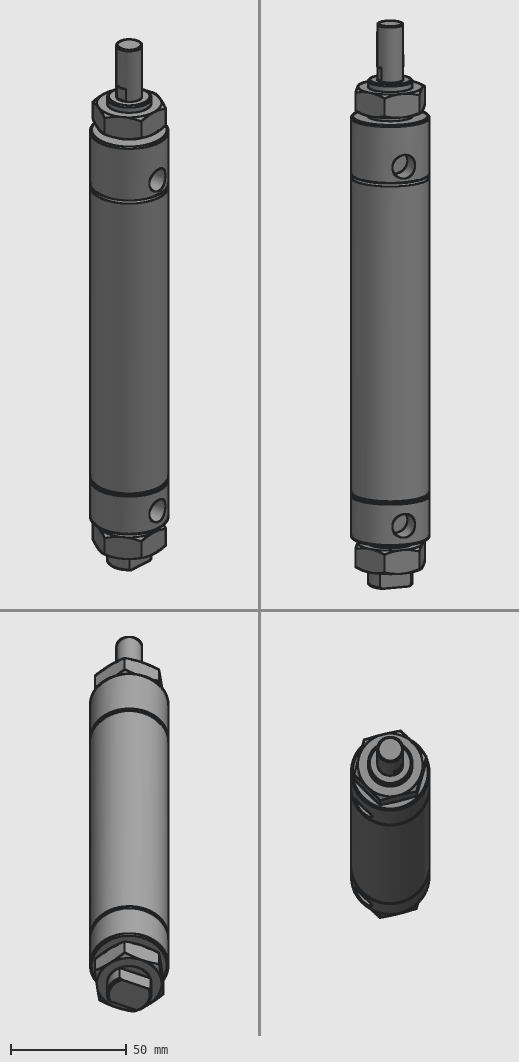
import cadquery as cq
import math

total_length = 251.0

body_diameter = 34.1
body_bottom = 21.0
body_top = 209.5
body_chamfer = 0.8

neck_diameter = 19.3
neck_chamfer = 0.8
front_neck_top = 225.9

tongue_thickness = 12.8
tongue_top = 8.0

groove_depth = 1.0
groove_floor = 0.5
tube_bottom = 41.5
tube_top = 182.2

port_diameter = 10.5
port_depth = 10.0
port_heights = (30.0, 190.7)

rod_diameter = 11.3
rod_chamfer = 0.5
rod_socket_depth = 16.0
flat_spacing = 10.0
flat_height = 6.0

nut_across_flats = 28.0
nut_height = 10.5
nut_chamfer_angle = 30.0
nut_sides = 6
nut_bottoms = (tongue_top, 212.0)

body_radius = body_diameter / 2
nut_half_side_angle = 180.0 / nut_sides
rod_bottom = front_neck_top - rod_socket_depth


def cylinder(diameter, bottom, top):
    return cq.Workplane("XY").workplane(offset=bottom).circle(diameter / 2).extrude(top - bottom)


def flats_cutter(spacing, bottom, top):
    """Two blocks that cut a pair of flats facing +X and -X, the given spacing apart."""
    block_size = 2 * body_diameter
    offset = (spacing + block_size) / 2
    return (
        cq.Workplane("XY")
        .workplane(offset=bottom)
        .pushPoints([(-offset, 0), (offset, 0)])
        .rect(block_size, block_size)
        .extrude(top - bottom)
    )


def make_groove(tube_edge, toward_cover):
    """Ring cut with a 45-degree flank on the tube side and a square shoulder on the cover side."""
    floor_radius = body_radius - groove_depth
    floor_start = tube_edge + toward_cover * groove_depth
    cover_edge = floor_start + toward_cover * groove_floor
    profile = (
        cq.Workplane("XZ")
        .polyline([
            (body_radius, tube_edge),
            (floor_radius, floor_start),
            (floor_radius, cover_edge),
            (body_radius, cover_edge),
        ])
        .close()
    )
    return profile.revolve(360, (0, 0, 0), (0, 1, 0))


def make_port(height):
    """Blind radial hole opening on the +X side."""
    return (
        cq.Workplane("YZ")
        .workplane(offset=body_radius - port_depth)
        .center(0, height)
        .circle(port_diameter / 2)
        .extrude(2 * port_depth)
    )


def make_body():
    barrel = cylinder(body_diameter, body_bottom, body_top).edges("%CIRCLE").chamfer(body_chamfer)
    neck = cylinder(neck_diameter, 0, front_neck_top).edges("%CIRCLE").chamfer(neck_chamfer)
    neck = neck.cut(flats_cutter(tongue_thickness, 0, tongue_top))
    body = barrel.union(neck)
    body = body.cut(make_groove(tube_bottom, -1))
    body = body.cut(make_groove(tube_top, 1))
    for height in port_heights:
        body = body.cut(make_port(height))
    return body.cut(cylinder(rod_diameter, rod_bottom, front_neck_top))


def make_rod():
    rod = cylinder(rod_diameter, rod_bottom, total_length).faces(">Z").chamfer(rod_chamfer)
    flats = flats_cutter(flat_spacing, front_neck_top, front_neck_top + flat_height)
    return rod.cut(flats.rotate((0, 0, 0), (0, 0, 1), 90))


def make_nut(bottom):
    """Hexagonal nut with conical chamfers on the corners of both faces."""
    corner_diameter = nut_across_flats / math.cos(math.radians(nut_half_side_angle))
    face_radius = nut_across_flats / 2
    corner_radius = corner_diameter / 2
    chamfer_height = (corner_radius - face_radius) * math.tan(math.radians(nut_chamfer_angle))
    hexagon = (
        cq.Workplane("XY")
        .polygon(nut_sides, corner_diameter)
        .extrude(nut_height)
        .rotate((0, 0, 0), (0, 0, 1), nut_half_side_angle)
    )
    envelope = (
        cq.Workplane("XZ")
        .polyline([
            (0, 0),
            (face_radius, 0),
            (corner_radius, chamfer_height),
            (corner_radius, nut_height - chamfer_height),
            (face_radius, nut_height),
            (0, nut_height),
        ])
        .close()
        .revolve(360, (0, 0, 0), (0, 1, 0))
    )
    nut = hexagon.intersect(envelope).cut(cylinder(neck_diameter, 0, nut_height))
    return nut.translate((0, 0, bottom))


body = make_body()
rod = make_rod()
nuts = [make_nut(bottom) for bottom in nut_bottoms]

result = cq.Compound.makeCompound([body.val(), rod.val(), *[nut.val() for nut in nuts]])